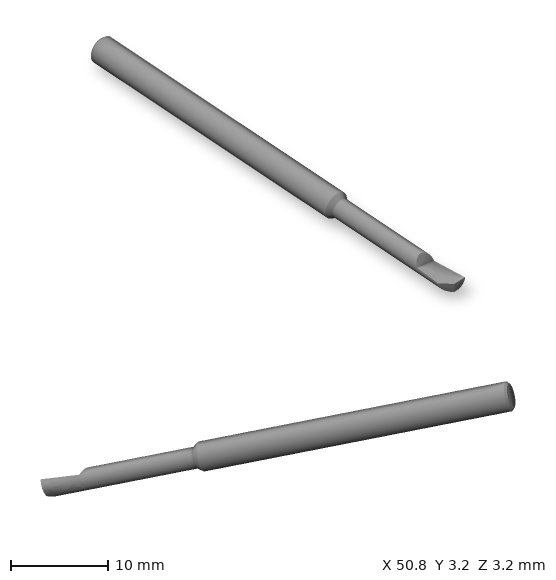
import cadquery as cq

length = 50.8
shank_radius = 1.6
neck_radius = 1.145

rear_chamfer = 0.25
shoulder_start = 33.8
shoulder_length = 0.6

flare_start = 46.4
flare_offset = 0.35
rake_top_start = 45.85
ramp_run_per_drop = 0.65
rake_near_height = 0.3
rake_far_height = -0.15
tip_height = 0.0
nose_start = 49.5
end_relief = 0.1
cut_margin = 2.55
cut_half_width = 2.05


def turned_body():
    """Chamfered shank, conical shoulder and slim neck, revolved about X."""
    return (
        cq.Workplane("XY")
        .moveTo(0, 0)
        .lineTo(0, shank_radius - rear_chamfer)
        .lineTo(rear_chamfer, shank_radius)
        .lineTo(shoulder_start, shank_radius)
        .lineTo(shoulder_start + shoulder_length, neck_radius)
        .lineTo(length, neck_radius)
        .lineTo(length, 0)
        .close()
        .revolve(360, (0, 0, 0), (1, 0, 0))
    )


def flared_tip():
    """Round section of neck size that drifts toward +Y up to the tip."""
    return (
        cq.Workplane("YZ", origin=(flare_start, 0, 0))
        .circle(neck_radius)
        .workplane(offset=length - flare_start)
        .center(flare_offset, 0)
        .circle(neck_radius)
        .loft(ruled=True)
    )


def section_above(x, near_height, far_height):
    """Cross-section wire at x covering all above a line from the -Y to the +Y side of the neck."""
    top = neck_radius + cut_margin
    height_slope = (far_height - near_height) / (2 * neck_radius)
    overhang = height_slope * (cut_half_width - neck_radius)
    corners = [
        (x, -cut_half_width, near_height - overhang),
        (x, cut_half_width, far_height + overhang),
        (x, cut_half_width, top),
        (x, -cut_half_width, top),
    ]
    return cq.Wire.makePolygon([cq.Vector(*corner) for corner in corners], close=True)


def rake_floor_cut():
    """Removes the upper half of the tip down to a twisted face: tilted at its root, level at the tip."""
    root = section_above(rake_top_start, rake_near_height, rake_far_height)
    tip = section_above(length, tip_height, tip_height)
    return cq.Workplane(obj=cq.Solid.makeLoft([root, tip], True))


def ramp_stock():
    """Material kept behind the steep ramp that joins the neck to the rake face."""
    drop = 2 * neck_radius
    return (
        cq.Workplane("XZ")
        .moveTo(rake_top_start - cut_margin, neck_radius)
        .lineTo(rake_top_start, neck_radius)
        .lineTo(rake_top_start + drop * ramp_run_per_drop, neck_radius - drop)
        .lineTo(rake_top_start - cut_margin, neck_radius - drop)
        .close()
        .extrude(cut_half_width + cut_margin, both=True)
    )


def end_cut():
    """Trims the end to a bevel on the -Y side and a relieved face on the +Y side."""
    return (
        cq.Workplane("XY")
        .moveTo(nose_start, -neck_radius)
        .lineTo(length - end_relief, 0)
        .lineTo(length, neck_radius + flare_offset)
        .lineTo(length + cut_margin, neck_radius + flare_offset)
        .lineTo(length + cut_margin, -neck_radius - cut_margin)
        .lineTo(nose_start, -neck_radius - cut_margin)
        .close()
        .extrude(shank_radius + cut_margin, both=True)
    )


result = turned_body().union(flared_tip()).cut(rake_floor_cut().cut(ramp_stock())).cut(end_cut())